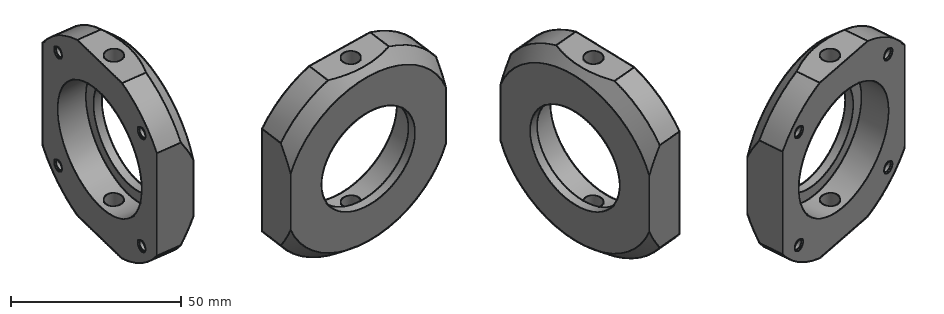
import cadquery as cq

width = 60.0
height = 68.0
thickness = 13.0

outer_radius = 36.0
rim_length = 8.5
back_radius = 31.9

bore_radius = 18.0
recess_radius = 22.0
recess_depth = 10.0

screw_spacing = 43.8
screw_radius = 1.6
screw_depth = 8.0
screw_tip_depth = 0.95
screw_mouth_radius = 2.05
screw_mouth_depth = screw_mouth_radius - screw_radius

radial_hole_radius = 3.0
radial_hole_from_front = 5.0


def make_body():
    """Turned disc with a conical back edge, trimmed by four flats."""
    disc = (
        cq.Workplane("XY")
        .polyline([
            (0, 0),
            (outer_radius, 0),
            (outer_radius, rim_length),
            (back_radius, thickness),
            (0, thickness),
        ])
        .close()
        .revolve(360, (0, 0), (0, 1))
    )
    envelope = cq.Workplane("XY").box(width, thickness, height).translate((0, thickness / 2, 0))
    return disc.intersect(envelope)


def front_cylinder(radius, depth):
    """Cylinder running from the front face toward the back."""
    return cq.Workplane("XZ").circle(radius).extrude(-depth)


def screw_hole(x, z):
    """Countersunk blind hole with a conical tip."""
    profile = (
        cq.Workplane("XY")
        .polyline([
            (0, 0),
            (screw_mouth_radius, 0),
            (screw_radius, screw_mouth_depth),
            (screw_radius, screw_depth),
            (0, screw_depth + screw_tip_depth),
        ])
        .close()
    )
    return profile.revolve(360, (0, 0), (0, 1)).translate((x, 0, z))


result = make_body()
result = result.cut(front_cylinder(bore_radius, thickness))
result = result.cut(front_cylinder(recess_radius, recess_depth))

for x in (-screw_spacing / 2, screw_spacing / 2):
    for z in (-screw_spacing / 2, screw_spacing / 2):
        result = result.cut(screw_hole(x, z))

radial_drill = (
    cq.Workplane("XY")
    .center(0, radial_hole_from_front)
    .circle(radial_hole_radius)
    .extrude(height / 2, both=True)
)
result = result.cut(radial_drill)